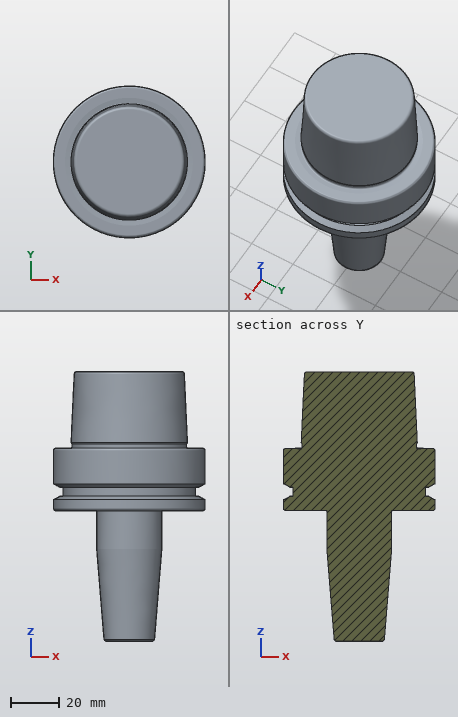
import cadquery as cq

total_height = 111.9
nose_cone_top = 38.3
flange_bottom = 54.2
groove_bottom = 60.2
groove_top = 63.9
flange_top = 80.1
neck_top = 81.8
taper_bottom = 82.5

nose_radius = 10.5
stem_radius = 13.5
flange_radius = 31.5
flank_inner_radius = 28.8
groove_radius = 27.5
relief_radius = 26.5
neck_radius = 23.8
taper_large_radius = 24.2
taper_small_radius = 22.8

nose_chamfer = 0.8
flange_chamfer = 0.73
flange_round = 0.7
groove_flank_rise = 1.5
relief_depth = 0.3
neck_fillet = 0.6
taper_round = 1.2


def circles_at(solid, *rings):
    """Select the circular edges that match the given (radius, height) pairs."""
    tolerance = 0.01

    def matches(edge):
        if edge.geomType() != "CIRCLE":
            return False
        height = edge.Center().z
        return any(
            abs(edge.radius() - ring_radius) < tolerance and abs(height - ring_height) < tolerance
            for ring_radius, ring_height in rings
        )

    return solid.edges().filter(matches)


nose_and_stem = [
    (0, 0),
    (nose_radius - nose_chamfer, 0),
    (nose_radius, nose_chamfer),
    (stem_radius, nose_cone_top),
    (stem_radius, flange_bottom),
]

flange = [
    (flange_radius - flange_chamfer, flange_bottom),
    (flange_radius, flange_bottom + flange_chamfer),
    (flange_radius, groove_bottom - groove_flank_rise),
    (flank_inner_radius, groove_bottom),
    (groove_radius, groove_bottom),
    (groove_radius, groove_top),
    (flank_inner_radius, groove_top),
    (flange_radius, groove_top + groove_flank_rise),
    (flange_radius, flange_top - flange_chamfer),
    (flange_radius - flange_chamfer, flange_top),
]

relief_bottom = flange_top - relief_depth
shank = [
    (relief_radius, flange_top),
    (neck_radius, relief_bottom),
    (neck_radius, neck_top),
    (taper_large_radius, taper_bottom),
    (taper_small_radius, total_height),
    (0, total_height),
]

body = (
    cq.Workplane("XZ")
    .polyline(nose_and_stem + flange + shank)
    .close()
    .revolve(360, (0, 0, 0), (0, 1, 0))
)

body = circles_at(
    body,
    (flange_radius - flange_chamfer, flange_bottom),
    (flange_radius, flange_bottom + flange_chamfer),
    (flange_radius, flange_top - flange_chamfer),
    (flange_radius - flange_chamfer, flange_top),
).fillet(flange_round)

body = circles_at(body, (neck_radius, relief_bottom)).fillet(neck_fillet)
result = circles_at(body, (taper_small_radius, total_height)).fillet(taper_round)